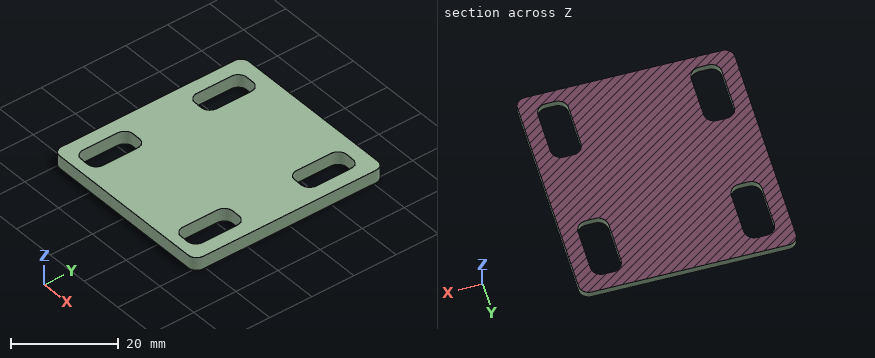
import cadquery as cq

plate_width = 42.0
plate_length = 45.0
plate_thickness = 3.0
corner_radius = 2.0

slot_width = 5.8
slot_length = 12.2
slot_corner_radius = 2.0
slot_spacing_x = 29.5
slot_spacing_y = 27.0
slot_pattern_offset_y = -0.4


def rounded_block(width, length, radius):
    """Block of plate thickness, centred in X and Y, with rounded vertical edges."""
    block = cq.Workplane("XY").box(width, length, plate_thickness, centered=(True, True, False))
    return block.edges("|Z").fillet(radius)


result = rounded_block(plate_width, plate_length, corner_radius)

slot_cutter = rounded_block(slot_width, slot_length, slot_corner_radius)
for side_x in (-1, 1):
    for side_y in (-1, 1):
        slot_x = side_x * slot_spacing_x / 2
        slot_y = slot_pattern_offset_y + side_y * slot_spacing_y / 2
        result = result.cut(slot_cutter.translate((slot_x, slot_y, 0)))